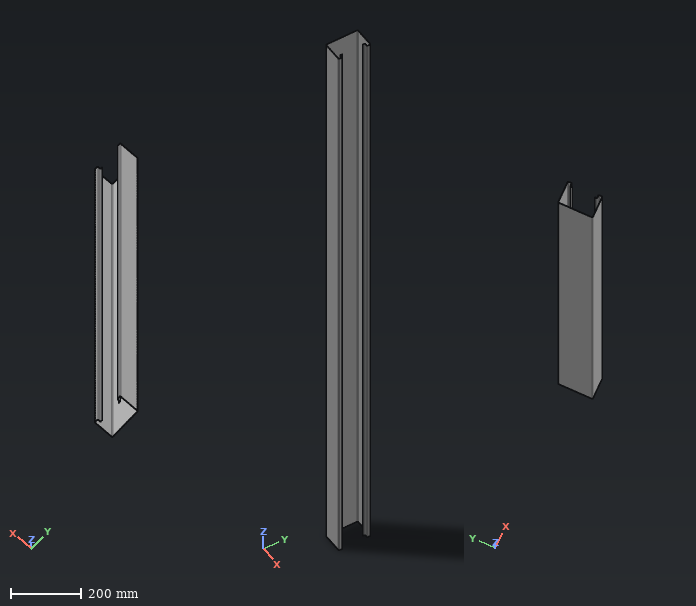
import cadquery as cq

DEPTH = 70.0
WIDTH = 110.0
LENGTH = 2000.0

SHEET = 2.0
INNER_RADIUS = 1.0
OUTER_RADIUS = INNER_RADIUS + SHEET

LIP_WIDTH = 14.0
STEP_DEPTH = 11.0
TAIL_LENGTH = 6.0

WEB_X = -DEPTH / 2
OPEN_X = DEPTH / 2
FLANGE_Y = WIDTH / 2
STEP_Y = FLANGE_Y - LIP_WIDTH
TAIL_X = OPEN_X - STEP_DEPTH
TAIL_END_Y = STEP_Y - TAIL_LENGTH

BENDS = [
    ((WEB_X, FLANGE_Y), (WEB_X + SHEET, FLANGE_Y - SHEET)),
    ((OPEN_X, FLANGE_Y), (OPEN_X - SHEET, FLANGE_Y - SHEET)),
    ((OPEN_X, STEP_Y), (OPEN_X - SHEET, STEP_Y + SHEET)),
    ((TAIL_X - SHEET, STEP_Y + SHEET), (TAIL_X, STEP_Y)),
]


def mirrored(points):
    """The same points on the -Y half, in reverse order."""
    return [(x, -y) for x, y in reversed(points)]


def sharp_channel():
    """Extruded C-section with stepped lips, before its bends are rounded."""
    web_bend, flange_bend, lip_bend, tail_bend = BENDS
    half_outline = [
        web_bend[0],
        flange_bend[0],
        lip_bend[0],
        tail_bend[1],
        (TAIL_X, TAIL_END_Y),
        (TAIL_X - SHEET, TAIL_END_Y),
        tail_bend[0],
        lip_bend[1],
        flange_bend[1],
        web_bend[1],
    ]
    outline = half_outline + mirrored(half_outline)
    return cq.Workplane("XY").workplane(offset=-LENGTH / 2).polyline(outline).close().extrude(LENGTH)


def round_corners(body, corners, radius):
    """Fillet the lengthwise edges at the given corners and at their mirror images."""
    for x, y in corners + mirrored(corners):
        body = body.edges(cq.selectors.NearestToPointSelector((x, y, 0))).fillet(radius)
    return body


def folded_channel():
    """Channel of constant sheet thickness with every bend rounded inside and outside."""
    body = sharp_channel()
    body = round_corners(body, [inner for _, inner in BENDS], INNER_RADIUS)
    return round_corners(body, [outer for outer, _ in BENDS], OUTER_RADIUS)


result = folded_channel()